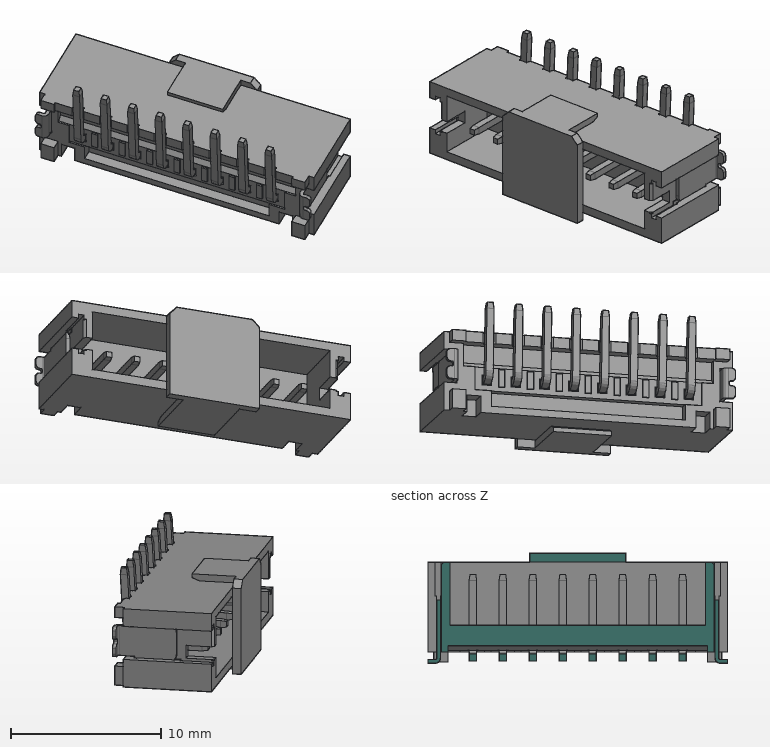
import cadquery as cq
import math


length = 19.95
depth = 6.0
height = 5.4
half_length = length / 2

end_wall_outer_x = 9.1
end_wall = 0.6
cavity_wall = 0.6
cavity_floor_y = 1.8

channel_bottom = 1.92
channel_top = 4.19
window_bottom = 2.0
window_top = 2.87
window_front_y = 4.09
mouth_chamfer = 0.18

ledge_bottom = 4.67
ledge_reach = 0.48
foot_reach = 0.65
foot_inner_x = 8.64
foot_outer_x = 9.6
foot_height = 1.32

upper_recess_y = 0.42
upper_recess_bottom = 3.13
upper_recess_slope = 0.3
panel_half_x = 7.85
panel_bottom = 1.55
panel_y = 0.12
lower_recess_half_x = 6.7
lower_recess_bottom = 0.48
lower_recess_y = 0.7
corner_notch_inner_x = 7.45
corner_notch_outer_x = 8.4
corner_notch_height = 1.14
corner_notch_y = 1.2

rib_width = 0.42
rib_bottom = 1.85
rib_top = 3.05

pin_count = 8
pin_pitch = 2.0
pin_width = 0.5
pin_thickness = 0.5
pin_bottom = 2.03
pin_rear_y = 5.19
pin_rear_taper = 0.4
pin_top = 7.45
pin_tip_length = 0.44
pin_tip_inset = 0.05
pin_lean = 3.0
pin_front_y = -0.78
pin_inner_radius = 0.25
pin_hole_width = 0.65
pin_hole_bottom = 1.95
pin_hole_top = 2.63
pin_hole_y = 0.24
pin_notch_width = 0.64
pin_notch_flare = 0.12
pin_notch_y = -0.14

nail_thickness = 0.25
nail_inner_radius = 0.08
nail_inner_x = 9.14
nail_front_y = -0.74
nail_rear_y = 3.5
nail_rear_radius = 0.68
nail_step_y = 0.62
nail_groove_depth = 0.28
groove_entry_outer_x = 9.5
groove_entry_y = 3.75
nail_bottom = 2.01
nail_top = 4.07
nail_notch_bottom = 2.87
nail_notch_top = 3.21
nail_notch_x = 9.54
nail_notch_radius = 0.12
nail_corner_radius = 0.24

cap_half_x = 3.21
cap_thickness = 0.6
cap_bottom = -0.55
cap_top = 5.87
cap_corner = 0.5
arm_half_x = 2.01
upper_arm_front_y = 3.01
lower_arm_front_y = 1.48
arm_gap = 0.05
arm_lead_length = 0.5
arm_lead_height = 0.2

groove_bottom = channel_bottom - nail_groove_depth
groove_top = channel_top + nail_groove_depth
nail_outer_x = nail_inner_x + nail_thickness
pin_xs = [(i - (pin_count - 1) / 2) * pin_pitch for i in range(pin_count)]


def block(x_range, y_range, z_range):
    """Box between two limits on each axis."""
    sizes = [high - low for low, high in (x_range, y_range, z_range)]
    corner = (x_range[0], y_range[0], z_range[0])
    return cq.Workplane("XY").box(*sizes, centered=False).translate(corner)


def extrude_along_x(points, half_width):
    """Extrude a (Y, Z) outline evenly to both sides of X = 0."""
    return cq.Workplane("YZ").polyline(points).close().extrude(half_width, both=True)


def both_ends(solid):
    """The solid together with its mirror image at the other end."""
    return solid.union(solid.mirror("YZ"))


def make_shell():
    """Block with grooved side channels, rear cavity and side windows."""
    shell = block((-half_length, half_length), (0, depth), (0, height))
    channel = (
        cq.Workplane("XY")
        .polyline([
            (-half_length, 0),
            (-end_wall_outer_x, 0),
            (-end_wall_outer_x, depth - mouth_chamfer),
            (-end_wall_outer_x + mouth_chamfer, depth),
            (-half_length, depth),
        ])
        .close()
        .extrude(channel_top - channel_bottom)
        .translate((0, 0, channel_bottom))
    )
    cavity_half_x = end_wall_outer_x - end_wall
    cavity = block(
        (-cavity_half_x, cavity_half_x),
        (cavity_floor_y, depth),
        (cavity_wall, height - cavity_wall),
    )
    windows = block(
        (-end_wall_outer_x, end_wall_outer_x),
        (window_front_y, depth),
        (window_bottom, window_top),
    )
    groove = block(
        (-nail_outer_x, -nail_inner_x),
        (nail_step_y, groove_entry_y),
        (groove_bottom, groove_top),
    )
    groove_entry = block(
        (-groove_entry_outer_x, -end_wall_outer_x),
        (groove_entry_y, depth),
        (groove_bottom, groove_top),
    )
    side_cut = channel.union(groove).union(groove_entry)
    return shell.cut(both_ends(side_cut)).cut(cavity).cut(windows)


def make_front_projections():
    """Upper ledge with its thicker ends, and the two lower corner feet."""
    ledge = block((-foot_inner_x, foot_inner_x), (-ledge_reach, 0), (ledge_bottom, height))
    for x in pin_xs:
        half_slot = pin_notch_width / 2
        flared = half_slot + pin_notch_flare
        half_outline = [
            (half_slot, pin_notch_y),
            (half_slot, -ledge_reach + pin_notch_flare),
            (flared, -ledge_reach),
        ]
        outline = half_outline + [(-px, py) for px, py in reversed(half_outline)]
        slot = cq.Workplane("XY").polyline(outline).close().extrude(height).translate((x, 0, 0))
        ledge = ledge.cut(slot)
    foot_x = (-foot_outer_x, -foot_inner_x)
    upper_end = block(foot_x, (-foot_reach, 0), (ledge_bottom, height))
    lower_foot = block(foot_x, (-foot_reach, 0), (0, foot_height))
    return ledge.union(both_ends(upper_end)).union(both_ends(lower_foot))


def make_front_recesses():
    """Volume removed from the front face."""
    upper = extrude_along_x(
        [
            (0, upper_recess_bottom),
            (upper_recess_y - upper_recess_slope, upper_recess_bottom),
            (upper_recess_y, upper_recess_bottom + upper_recess_slope),
            (upper_recess_y, ledge_bottom),
            (0, ledge_bottom),
        ],
        foot_inner_x,
    )
    panel = block((-panel_half_x, panel_half_x), (0, panel_y), (panel_bottom, upper_recess_bottom))
    for left_pin, right_pin in zip(pin_xs, pin_xs[1:]):
        middle = (left_pin + right_pin) / 2
        rib_x = (middle - rib_width / 2, middle + rib_width / 2)
        panel = panel.cut(block(rib_x, (0, panel_y), (rib_bottom, rib_top)))
    lower = block(
        (-lower_recess_half_x, lower_recess_half_x),
        (0, lower_recess_y),
        (lower_recess_bottom, panel_bottom),
    )
    corner_notch = block(
        (-corner_notch_outer_x, -corner_notch_inner_x),
        (0, corner_notch_y),
        (0, corner_notch_height),
    )
    recesses = upper.union(panel).union(lower).union(both_ends(corner_notch))
    for x in pin_xs:
        hole_x = (x - pin_hole_width / 2, x + pin_hole_width / 2)
        hole_z = (pin_hole_bottom, pin_hole_top)
        recesses = recesses.union(block(hole_x, (0, pin_hole_y), hole_z))
    return recesses


def make_pin():
    """Bent pin at X = 0: level in the cavity, leaning forward as it rises."""
    lean = math.tan(math.radians(pin_lean))
    shoulder_z = pin_top - pin_tip_length
    level_top = pin_bottom + pin_thickness
    rear_shoulder_y = pin_rear_y - pin_rear_taper

    def front_y(z):
        return pin_front_y + (shoulder_z - z) * lean

    def back_y(z):
        return front_y(z) + pin_thickness

    outer_corner = (front_y(pin_bottom), pin_bottom)
    inner_corner = (back_y(level_top), level_top)
    body = extrude_along_x(
        [
            outer_corner,
            (front_y(shoulder_z), shoulder_z),
            (front_y(pin_top) + pin_tip_inset, pin_top),
            (back_y(pin_top) - pin_tip_inset, pin_top),
            (back_y(shoulder_z), shoulder_z),
            inner_corner,
            (rear_shoulder_y, level_top),
            (pin_rear_y, level_top - pin_tip_inset),
            (pin_rear_y, pin_bottom + pin_tip_inset),
            (rear_shoulder_y, pin_bottom),
        ],
        pin_width / 2,
    )
    outer_radius = pin_inner_radius + pin_thickness
    for (y, z), radius in ((outer_corner, outer_radius), (inner_corner, pin_inner_radius)):
        body = body.edges(cq.selectors.NearestToPointSelector((0, y, z))).fillet(radius)

    half = pin_width / 2
    tip_half = half - pin_tip_inset
    front_envelope = (
        cq.Workplane("XZ")
        .polyline([
            (-half, 0),
            (-half, shoulder_z),
            (-tip_half, pin_top),
            (tip_half, pin_top),
            (half, shoulder_z),
            (half, 0),
        ])
        .close()
        .extrude(depth, both=True)
    )
    plan_envelope = (
        cq.Workplane("XY")
        .polyline([
            (-half, pin_front_y),
            (-half, rear_shoulder_y),
            (-tip_half, pin_rear_y),
            (tip_half, pin_rear_y),
            (half, rear_shoulder_y),
            (half, pin_front_y),
        ])
        .close()
        .extrude(pin_top)
    )
    return body.intersect(front_envelope).intersect(plan_envelope)


def make_nail():
    """Solder nail at the -X end: a plate held in the grooves, bent outward into a forked foot."""
    foot_rear_y = nail_front_y + nail_thickness
    strip = (
        cq.Workplane("XY")
        .polyline([
            (-nail_inner_x, nail_rear_y),
            (-nail_inner_x, nail_front_y),
            (-half_length, nail_front_y),
            (-half_length, foot_rear_y),
            (-nail_outer_x, foot_rear_y),
            (-nail_outer_x, nail_rear_y),
        ])
        .close()
        .extrude(groove_top - groove_bottom)
        .translate((0, 0, groove_bottom))
    )
    bends = (
        (-nail_inner_x, nail_front_y, nail_inner_radius + nail_thickness),
        (-nail_outer_x, foot_rear_y, nail_inner_radius),
    )
    middle_z = (groove_bottom + groove_top) / 2
    for x, y, radius in bends:
        strip = strip.edges(cq.selectors.NearestToPointSelector((x, y, middle_z))).fillet(radius)

    side_outline = (
        cq.Workplane("YZ")
        .polyline([
            (nail_front_y, nail_bottom),
            (nail_step_y, nail_bottom),
            (nail_step_y + nail_bottom - groove_bottom, groove_bottom),
            (nail_rear_y, groove_bottom),
            (nail_rear_y, groove_top),
            (nail_step_y + groove_top - nail_top, groove_top),
            (nail_step_y, nail_top),
            (nail_front_y, nail_top),
        ])
        .close()
        .extrude(-length)
        .faces(">Y")
        .edges("|X")
        .fillet(nail_rear_radius)
    )
    fork_gap = block(
        (-half_length, -nail_notch_x),
        (nail_front_y, foot_rear_y),
        (nail_notch_bottom, nail_notch_top),
    )
    fork_gap = fork_gap.faces(">X").edges("|Y").fillet(nail_notch_radius)
    nail = strip.intersect(side_outline).cut(fork_gap)
    return nail.faces("<X").edges("|Y").fillet(nail_corner_radius)


def make_cap():
    """Plate across the middle of the mouth with one arm above and one below the housing."""
    rear_y = depth + cap_thickness
    plate = block((-cap_half_x, cap_half_x), (depth, rear_y), (cap_bottom, cap_top))
    plate = plate.faces(">Z").edges("|Y").chamfer(cap_corner)
    upper_arm = extrude_along_x(
        [
            (depth, height),
            (upper_arm_front_y + arm_lead_length, height),
            (upper_arm_front_y, height + arm_lead_height),
            (upper_arm_front_y, cap_top),
            (depth, cap_top),
        ],
        arm_half_x,
    )
    lower_arm = extrude_along_x(
        [
            (depth, -arm_gap),
            (lower_arm_front_y + arm_lead_length, -arm_gap),
            (lower_arm_front_y, -arm_gap - arm_lead_height),
            (lower_arm_front_y, cap_bottom),
            (depth, cap_bottom),
        ],
        arm_half_x,
    )
    return plate.union(upper_arm).union(lower_arm)


result = make_shell().cut(make_front_recesses()).union(make_front_projections())
pin = make_pin()
for x in pin_xs:
    result = result.union(pin.translate((x, 0, 0)))
result = result.union(both_ends(make_nail())).union(make_cap())